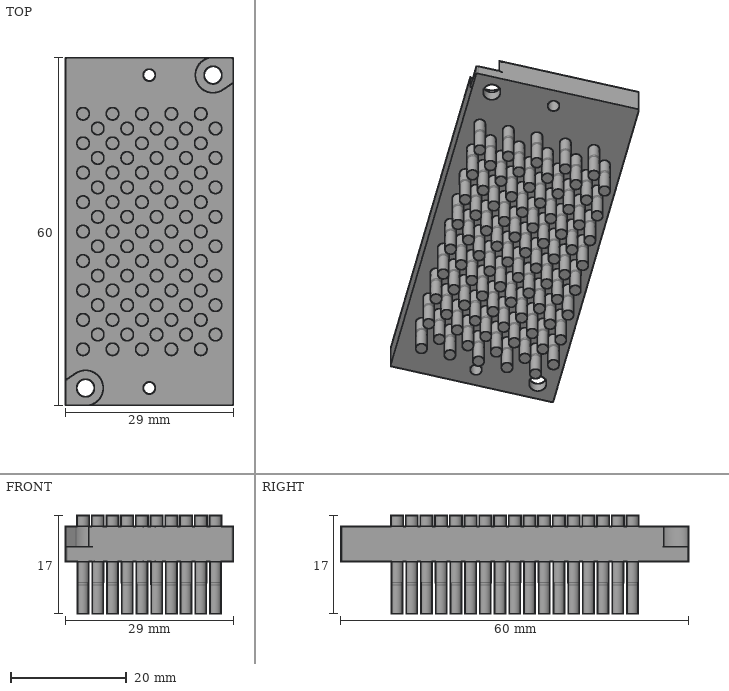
import cadquery as cq
import math

PLATE_X = 29.0
PLATE_Y = 60.0
PLATE_Z = 6.1
CORNER_RADIUS = 0.25

PITCH = 2.54
ROWS = 17
PINS_PER_ROW = 5
COLUMNS = 2 * PINS_PER_ROW
TOTAL_HEIGHT = 17.0
HEAD_DIAMETER = 2.15
HEAD_HEIGHT = 1.9
TAIL_LENGTH = TOTAL_HEIGHT - PLATE_Z - HEAD_HEIGHT
SLEEVE_DIAMETER = 1.98
SLEEVE_LENGTH = 3.55
TAPER_LENGTH = 0.4
TIP_DIAMETER = 1.95

HOLE_END_DISTANCE = 3.0
HOLE_Y = PLATE_Y / 2 - HOLE_END_DISTANCE
DOWEL_DIAMETER = 2.02
SCREW_DIAMETER = 3.0
SCREW_X = 11.0

POCKET_RADIUS = 3.05
POCKET_DEPTH = 3.5
POCKET_WALL_ANGLE = 34.0
POCKET_OVERRUN = 6.0


def make_plate():
    plate = cq.Workplane("XY").box(PLATE_X, PLATE_Y, PLATE_Z, centered=(True, True, False))
    return plate.edges("|Z").fillet(CORNER_RADIUS)


def pin_positions():
    """Rows run along X; every second row is shifted by one pitch."""
    first_x = -(COLUMNS - 1) / 2 * PITCH
    first_y = (ROWS - 1) / 2 * PITCH
    points = []
    for row in range(ROWS):
        for pin in range(PINS_PER_ROW):
            column = 2 * pin + row % 2
            points.append((first_x + column * PITCH, first_y - row * PITCH))
    return points


def add_pins(body):
    points = pin_positions()
    heads = (
        cq.Workplane("XY", origin=(0, 0, PLATE_Z))
        .pushPoints(points)
        .circle(HEAD_DIAMETER / 2)
        .extrude(HEAD_HEIGHT)
    )
    body = body.union(heads)
    taper_top = -SLEEVE_LENGTH
    taper_bottom = taper_top - TAPER_LENGTH
    profile = [
        (0, 0),
        (SLEEVE_DIAMETER / 2, 0),
        (SLEEVE_DIAMETER / 2, taper_top),
        (TIP_DIAMETER / 2, taper_bottom),
        (TIP_DIAMETER / 2, -TAIL_LENGTH),
        (0, -TAIL_LENGTH),
    ]
    tail = cq.Workplane("XZ").polyline(profile).close().revolve(360, (0, 0, 0), (0, 1, 0)).val()
    tails = cq.Workplane("XY").pushPoints(points).eachpoint(lambda place: tail.moved(place))
    body = body.union(tails)
    return body


def cut_through_holes(body, points, diameter):
    holes = cq.Workplane("XY").pushPoints(points).circle(diameter / 2).extrude(PLATE_Z)
    return body.cut(holes)


def make_pocket():
    """Pocket at the -X, -Y corner: a round seat whose slanted tangent wall runs out through the -X side."""
    angle = math.radians(POCKET_WALL_ANGLE)
    center_x = -SCREW_X
    center_y = -HOLE_Y
    tangent_x = center_x - POCKET_RADIUS * math.sin(angle)
    tangent_y = center_y + POCKET_RADIUS * math.cos(angle)
    outer_x = tangent_x - POCKET_OVERRUN * math.cos(angle)
    outer_y = tangent_y - POCKET_OVERRUN * math.sin(angle)
    floor = cq.Workplane("XY", origin=(0, 0, PLATE_Z - POCKET_DEPTH))
    seat = floor.center(center_x, center_y).circle(POCKET_RADIUS).extrude(POCKET_DEPTH)
    corner = (
        floor.moveTo(center_x, center_y)
        .lineTo(tangent_x, tangent_y)
        .lineTo(outer_x, outer_y)
        .lineTo(outer_x, center_y - POCKET_RADIUS)
        .lineTo(center_x, center_y - POCKET_RADIUS)
        .close()
        .extrude(POCKET_DEPTH)
    )
    return seat.union(corner)


body = make_plate()
pocket = make_pocket()
body = body.cut(pocket)
body = body.cut(pocket.rotate((0, 0, 0), (0, 0, 1), 180))
body = cut_through_holes(body, [(0, HOLE_Y), (0, -HOLE_Y)], DOWEL_DIAMETER)
body = cut_through_holes(body, [(SCREW_X, HOLE_Y), (-SCREW_X, -HOLE_Y)], SCREW_DIAMETER)
result = add_pins(body)